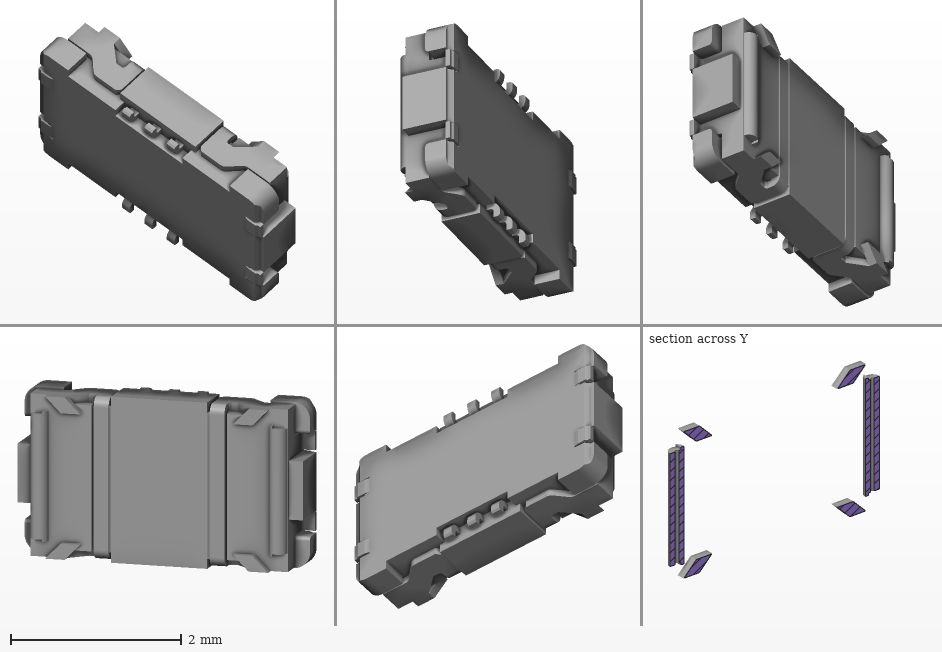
import cadquery as cq
import math

length = 3.5
width = 2.0
half_length = length / 2
half_width = width / 2

face_y = 0.015
cover_y = 0.675
core_top_y = 0.56
spine_y = 0.655
pad_bottom_y = 0.17
block_top_y = 0.635
top_y = 0.78

core_z = 0.88
core_x = 1.505
notch_x = 0.525
notch_z = 0.763
pad_x = 0.588
spine_x = 0.62
block_z = 0.355
block_inner_x = 0.83

foot_inner_x = 1.265
foot_inner_z = 0.615
foot_top_y = 0.34
foot_corner_radius = 0.2
foot_edge_radius = 0.05

bevel_y = 0.07
bevel_outer_x = 1.7
bevel_inner_x = 1.65

shell_x = 1.58
shell_z = 0.975
shell_rim_y = 0.37
shell_low_y = 0.182
shell_bend_radius = 0.1
shell_corner_chamfer = 0.05
slope_top_x = 1.2
strap_x = 0.8
recess_y = 0.475
recess_slope_x = 1.13
recess_low_x = 0.917
recess_corner = 0.025
strap_bend_radius = cover_y - core_top_y

hook_inner_z = 0.375
hook_outer_z = 0.595
hook_tip_x = 1.735
hook_top_y = 0.08
hook_bend_radius = 0.045
hook_step_y = 0.02
hook_step_x = 1.698
hook_sole_outer_x = 1.673
hook_sole_inner_x = 1.568
hook_throat_radius = 0.025

rail_center_x = 1.463
rail_radius = 0.11
rail_bore_radius = 0.025
rail_z = 0.752
rail_step_z = 0.785
rail_step_x = 1.41
tab_outer_x = 1.37
tab_inner_x = 1.127

lead_pitch = 0.35
lead_width = 0.12
lead_thickness = 0.08
lead_bend_radius = 0.12
lead_bend_z = 0.915
lead_tip_z = 0.987
lead_tip_chamfer_y = 0.025
lead_tip_chamfer_z = 0.02


def box(x_range, y_range, z_range):
    """Box between the given limits along each axis."""
    sizes = [high - low for low, high in (x_range, y_range, z_range)]
    corner = (x_range[0], y_range[0], z_range[0])
    return cq.Workplane("XY").box(*sizes, centered=False).translate(corner)


def centered_box(x_half, y_range, z_half):
    """Box centered in X and Z."""
    return box((-x_half, x_half), y_range, (-z_half, z_half))


def along_x(profile, x_low, x_high):
    """Extrude a closed YZ profile between two X positions."""
    return profile.extrude(x_high - x_low).translate((x_low, 0, 0))


def along_z(profile, z_low, z_high):
    """Extrude a closed XY profile between two Z positions."""
    return profile.extrude(z_high - z_low).translate((0, 0, z_low))


def mirrored(quarter):
    """Repeat a feature of the +X, +Z quarter in the other three quarters."""
    half = quarter.union(quarter.mirror("YZ"))
    return half.union(half.mirror("XY"))


def housing_core():
    core = centered_box(core_x, (face_y, core_top_y), core_z)
    spine = (
        cq.Workplane("XY")
        .moveTo(-spine_x, face_y)
        .lineTo(spine_x, face_y)
        .lineTo(spine_x, spine_y)
        .lineTo(pad_x, cover_y)
        .lineTo(-pad_x, cover_y)
        .lineTo(-spine_x, spine_y)
        .close()
    )
    core = core.union(along_z(spine, -core_z, core_z))
    notch = box((-notch_x, notch_x), (face_y, pad_bottom_y), (notch_z, core_z))
    core = core.cut(notch).cut(notch.mirror("XY"))
    pad = centered_box(pad_x, (pad_bottom_y, cover_y), half_width)
    return core.union(pad)


def corner_foot():
    foot = box((foot_inner_x, half_length), (face_y, foot_top_y), (foot_inner_z, half_width))
    foot = foot.edges("|Y and >X and >Z").fillet(foot_corner_radius)
    return foot.edges("|X and >Y and <Z").fillet(foot_edge_radius)


def end_bevel():
    profile = (
        cq.Workplane("XY")
        .moveTo(half_length, face_y)
        .lineTo(half_length, bevel_y)
        .lineTo(bevel_outer_x, bevel_y)
        .lineTo(bevel_inner_x, face_y)
        .close()
    )
    return along_z(profile, 0, half_width)


def housing():
    end_block = box((core_x, half_length), (face_y, block_top_y), (0, block_z))
    ends = end_block.union(corner_foot()).cut(end_bevel())
    return housing_core().union(mirrored(ends))


def shell_side():
    """Long side wall with its sloped rim and the recess beside the strap."""
    slope_low_x = slope_top_x - (shell_rim_y - shell_low_y)
    bend_run = shell_bend_radius * math.tan(math.pi / 8)
    bend_diagonal = bend_run * math.sqrt(0.5)
    bend_sagitta_x = shell_bend_radius * math.sin(math.pi / 8)
    bend_sagitta_y = shell_bend_radius * (1 - math.cos(math.pi / 8))
    profile = (
        cq.Workplane("XY")
        .moveTo(shell_x, cover_y)
        .lineTo(shell_x, shell_rim_y)
        .lineTo(slope_top_x + bend_run, shell_rim_y)
        .threePointArc(
            (slope_top_x + bend_run - bend_sagitta_x, shell_rim_y - bend_sagitta_y),
            (slope_top_x - bend_diagonal, shell_rim_y - bend_diagonal),
        )
        .lineTo(slope_low_x + bend_diagonal, shell_low_y + bend_diagonal)
        .threePointArc(
            (slope_low_x - bend_run + bend_sagitta_x, shell_low_y + bend_sagitta_y),
            (slope_low_x - bend_run, shell_low_y),
        )
        .lineTo(spine_x + shell_corner_chamfer, shell_low_y)
        .lineTo(spine_x, shell_low_y + shell_corner_chamfer)
        .lineTo(spine_x, core_top_y)
        .lineTo(strap_x, core_top_y)
        .lineTo(strap_x, recess_y + recess_corner)
        .lineTo(strap_x + recess_corner, recess_y)
        .lineTo(recess_low_x, recess_y)
        .lineTo(recess_slope_x, cover_y)
        .close()
    )
    return along_z(profile, core_z, shell_z)


def shell_strap():
    """Strip of the side wall that rolls over onto the cover."""
    strap = box((spine_x, strap_x), (recess_y, cover_y), (0, shell_z))
    return strap.edges("|X and >Y and >Z").fillet(strap_bend_radius)


def shell_end():
    """End wall, full height in the middle and cut back above the corner feet."""
    profile = (
        cq.Workplane("YZ")
        .moveTo(face_y, 0)
        .lineTo(face_y, hook_outer_z)
        .lineTo(shell_rim_y - hook_throat_radius, hook_outer_z)
        .radiusArc((shell_rim_y, hook_outer_z + hook_throat_radius), -hook_throat_radius)
        .lineTo(shell_rim_y, shell_z)
        .lineTo(cover_y, shell_z)
        .lineTo(cover_y, 0)
        .close()
    )
    return along_x(profile, core_x, shell_x)


def hook():
    """Foot of the end wall, bent outward onto the mounting plane."""
    profile = (
        cq.Workplane("XY")
        .moveTo(core_x, face_y)
        .lineTo(hook_sole_inner_x, 0)
        .lineTo(hook_sole_outer_x, 0)
        .lineTo(hook_step_x, hook_step_y)
        .lineTo(hook_tip_x, hook_step_y)
        .lineTo(hook_tip_x, hook_top_y)
        .lineTo(shell_x + hook_bend_radius, hook_top_y)
        .radiusArc((shell_x, hook_top_y + hook_bend_radius), hook_bend_radius)
        .lineTo(core_x, hook_top_y + hook_bend_radius)
        .close()
    )
    return along_z(profile, hook_inner_z, hook_outer_z)


def rolled_rail():
    """Hollow half-round rail along the end of the cover."""
    center = (rail_center_x, top_y - rail_radius)

    def tube(z_high):
        ring = cq.Workplane("XY").center(*center).circle(rail_radius).circle(rail_bore_radius)
        return ring.extrude(z_high)

    step = box((block_inner_x, rail_step_x), (cover_y, top_y), (0, rail_step_z))
    above_cover = box((block_inner_x, shell_x), (cover_y, top_y), (0, rail_z))
    return tube(rail_z).intersect(above_cover).union(tube(rail_step_z).intersect(step))


def cover_tab():
    """Tab standing on the cover, slanting toward the middle at 45 degrees."""
    slant = shell_z - rail_step_z
    profile = (
        cq.Workplane("XZ", origin=(0, top_y, 0))
        .moveTo(tab_outer_x, shell_z)
        .lineTo(tab_inner_x, shell_z)
        .lineTo(tab_inner_x - slant, rail_step_z)
        .lineTo(tab_outer_x - slant, rail_step_z)
        .close()
    )
    return profile.extrude(top_y - cover_y)


def shell():
    quarter = box((block_inner_x, shell_x), (core_top_y, cover_y), (0, core_z))
    for feature in (shell_side, shell_strap, shell_end, hook, rolled_rail, cover_tab):
        quarter = quarter.union(feature())
    return mirrored(quarter)


def lead():
    """Lead leaving the pad underside and bending outward along the mounting plane."""
    inner_radius = lead_bend_radius - lead_thickness
    profile = (
        cq.Workplane("YZ")
        .moveTo(pad_bottom_y, lead_bend_z - lead_bend_radius)
        .lineTo(lead_bend_radius, lead_bend_z - lead_bend_radius)
        .radiusArc((0, lead_bend_z), lead_bend_radius)
        .lineTo(0, lead_tip_z - lead_tip_chamfer_z)
        .lineTo(lead_tip_chamfer_y, lead_tip_z)
        .lineTo(lead_thickness, lead_tip_z)
        .lineTo(lead_thickness, lead_bend_z)
        .radiusArc((lead_bend_radius, lead_bend_z - inner_radius), -inner_radius)
        .lineTo(pad_bottom_y, lead_bend_z - inner_radius)
        .close()
    )
    return along_x(profile, -lead_width / 2, lead_width / 2)


result = housing().union(shell())
for column in (-1, 0, 1):
    single_lead = lead().translate((column * lead_pitch, 0, 0))
    result = result.union(single_lead).union(single_lead.mirror("XY"))